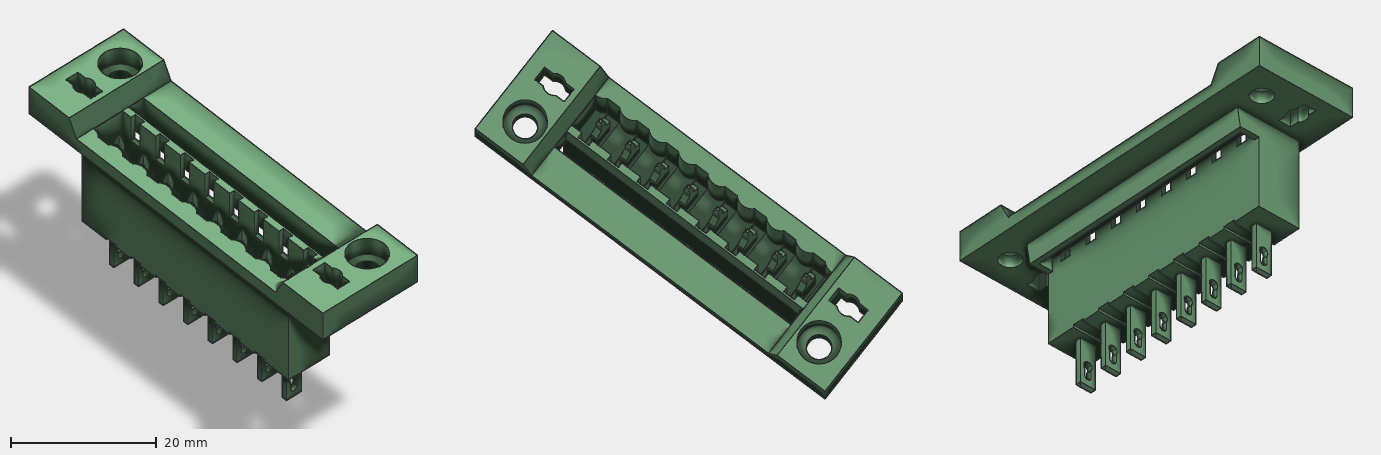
import cadquery as cq

pin_count = 8
pitch = 5.08

flange_length = 60.56
flange_width = 17.4
flange_thickness = 5.0
recess_depth = 2.9
recess_top_half = 22.0
recess_foot_half = 20.5

body_half_length = 21.3
body_depth = 20.0
body_front_y = -7.0
body_rear_y = 0.5

step_depth = 8.1
step_top_y = 4.5
step_bottom_y = 3.95

mount_x = 25.45
mount_y = 3.75
mount_hole_diameter = 3.5
counterbore_diameter = 6.1
counterbore_depth = 3.0
key_y = -2.85
key_length = 5.1
key_width = 2.2
key_circle_diameter = 3.1

cavity_half_length = 20.4
gap_rear_y = 3.6
ledge_front_y = 3.05
ledge_z = -7.2
comb_rear_top_y = 0.85
comb_lip_bottom_y = 1.25
comb_lip_bottom_z = -6.0
comb_front_y = -0.25
comb_slot_width = 1.85
comb_slot_floor_z = -7.3
comb_slot_rear_y = 0.55

pocket_front_y = -6.25
pocket_floor_z = -12.0
channel_width = 2.1
channel_floor_z = -13.0
rib_height = 0.65

notch_width = 2.0
notch_depth = 0.4

pin_bottom_z = -28.0
pin_y = -3.25
tail_thickness = 0.9
tail_width = 2.8
tail_chamfer_height = 0.45
tail_tip_thickness = 0.1
tail_tip_width = 2.0
blade_thickness = 1.05
blade_width = 3.0
post_width = 1.0
post_y = -3.3
tip_size = 0.35
post_tip_z = -3.85
post_chamfer_z = -5.2
post_foot_z = -6.8
blade_shoulder_z = -8.1
blade_embed_depth = 1.0
blade_root_z = channel_floor_z - blade_embed_depth
eye_z = -24.2
eye_diameter = 1.5
eye_slot_width = 1.2
eye_bottom_z = -26.5

pin_positions = [(i - (pin_count - 1) / 2) * pitch for i in range(pin_count)]
gap_positions = [x + pitch / 2 for x in pin_positions[:-1]]
rib_positions = [(i - pin_count / 2) * pitch for i in range(pin_count + 1)]


def block(x0, x1, y0, y1, z0, z1):
    """Axis-aligned box between two opposite corners."""
    return cq.Workplane("XY").box(x1 - x0, y1 - y0, z1 - z0, centered=False).translate((x0, y0, z0))


def profile_along_x(points, half_length):
    """Prism with a (Y, Z) outline, centred on X = 0."""
    return cq.Workplane("YZ").polyline(points).close().extrude(half_length, both=True)


def frustum(x, lower, upper):
    """Rectangular frustum between two sections given as (y, z, thickness, width)."""
    y0, z0, thickness0, width0 = lower
    y1, z1, thickness1, width1 = upper
    return (
        cq.Workplane("XY", origin=(x, y0, z0))
        .rect(thickness0, width0)
        .workplane(offset=z1 - z0)
        .center(0, y1 - y0)
        .rect(thickness1, width1)
        .loft(ruled=True)
    )


def make_flange():
    half = flange_length / 2
    outline = [
        (-half, -flange_thickness),
        (half, -flange_thickness),
        (half, 0),
        (recess_top_half, 0),
        (recess_foot_half, -recess_depth),
        (-recess_foot_half, -recess_depth),
        (-recess_top_half, 0),
        (-half, 0),
    ]
    return cq.Workplane("XZ").polyline(outline).close().extrude(flange_width / 2, both=True)


def make_housing():
    outline = [
        (body_front_y, -flange_thickness),
        (body_front_y, -body_depth),
        (body_rear_y, -body_depth),
        (body_rear_y, -step_depth),
        (step_bottom_y, -step_depth),
        (step_top_y, -flange_thickness),
    ]
    return profile_along_x(outline, body_half_length)


def make_end_openings():
    """Counterbored screw hole and keyed opening at both flange ends."""
    openings = cq.Workplane("XY")
    for x in (-mount_x, mount_x):
        top = cq.Workplane("XY").center(x, mount_y)
        openings = openings.add(top.circle(mount_hole_diameter / 2).extrude(-flange_thickness))
        openings = openings.add(top.circle(counterbore_diameter / 2).extrude(-counterbore_depth))
        key = cq.Workplane("XY").center(x, key_y)
        openings = openings.add(key.rect(key_length, key_width).extrude(-flange_thickness))
        openings = openings.add(key.circle(key_circle_diameter / 2).extrude(-flange_thickness))
    return openings.combine()


def make_rear_gap():
    """Opening through the step, with a ledge at its rear and the comb's drafted lip at its front."""
    outline = [
        (gap_rear_y, 0),
        (gap_rear_y, ledge_z),
        (ledge_front_y, ledge_z),
        (ledge_front_y, -step_depth),
        (body_rear_y, -step_depth),
        (body_rear_y, comb_lip_bottom_z),
        (comb_lip_bottom_y, comb_lip_bottom_z),
        (comb_rear_top_y, -recess_depth),
        (comb_rear_top_y, 0),
    ]
    return profile_along_x(outline, cavity_half_length)


def make_contact_pocket():
    """Pocket in front of the comb, its front wall ribbed between the contacts."""
    pocket = block(-cavity_half_length, cavity_half_length, pocket_front_y, comb_front_y, pocket_floor_z, 0)
    half_chord = (pitch - channel_width) / 2
    rib_radius = (half_chord**2 + rib_height**2) / (2 * rib_height)
    rib_y = pocket_front_y + rib_height - rib_radius
    for x in rib_positions:
        rib = cq.Workplane("XY").center(x, rib_y).circle(rib_radius).extrude(pocket_floor_z)
        pocket = pocket.cut(rib)
    for x in pin_positions:
        x0 = x - channel_width / 2
        x1 = x + channel_width / 2
        pocket = pocket.union(block(x0, x1, pocket_front_y, comb_front_y, channel_floor_z, 0))
    return pocket


def make_comb_slots():
    """Slot at each contact, closed at the rear only by the drafted lip along the comb's top."""
    slots = cq.Workplane("XY")
    for x in pin_positions:
        half = comb_slot_width / 2
        slots = slots.add(block(x - half, x + half, comb_front_y, comb_slot_rear_y, comb_slot_floor_z, 0))
    return slots.combine()


def make_notches():
    notches = cq.Workplane("XY")
    half = notch_width / 2
    z = -body_depth
    for x in gap_positions:
        notches = notches.add(block(x - half, x + half, body_front_y, body_rear_y, z, z + notch_depth))
    return notches.combine()


def make_pin(x):
    """Contact pin: tapered post, wide blade and solder tail with a keyhole eye."""
    tail_end = (pin_y, pin_bottom_z, tail_tip_thickness, tail_tip_width)
    tail_foot = (pin_y, pin_bottom_z + tail_chamfer_height, tail_thickness, tail_width)
    tail_top = (pin_y, blade_root_z, tail_thickness, tail_width)
    blade_root = (pin_y, blade_root_z, blade_thickness, blade_width)
    blade_shoulder = (pin_y, blade_shoulder_z, blade_thickness, blade_width)
    post_foot = (post_y, post_foot_z, blade_thickness, post_width)
    post_top = (post_y, post_chamfer_z, blade_thickness, post_width)
    tip = (post_y, post_tip_z, tip_size, tip_size)
    pin = frustum(x, tail_end, tail_foot).union(frustum(x, tail_foot, tail_top))
    pin = pin.union(frustum(x, blade_root, blade_shoulder)).union(frustum(x, blade_shoulder, post_foot))
    pin = pin.union(frustum(x, post_foot, post_top)).union(frustum(x, post_top, tip))
    side = cq.Workplane("YZ", origin=(x, pin_y, 0))
    eye = side.center(0, eye_z).circle(eye_diameter / 2).extrude(blade_thickness, both=True)
    slot_end_z = eye_bottom_z + eye_slot_width / 2
    slot = (
        side.moveTo(-eye_slot_width / 2, eye_z)
        .lineTo(-eye_slot_width / 2, slot_end_z)
        .threePointArc((0, eye_bottom_z), (eye_slot_width / 2, slot_end_z))
        .lineTo(eye_slot_width / 2, eye_z)
        .close()
        .extrude(blade_thickness, both=True)
    )
    return pin.cut(eye).cut(slot)


result = make_flange().union(make_housing())
result = result.cut(make_end_openings()).cut(make_rear_gap()).cut(make_contact_pocket())
result = result.cut(make_comb_slots()).cut(make_notches())
for pin_x in pin_positions:
    result = result.union(make_pin(pin_x))